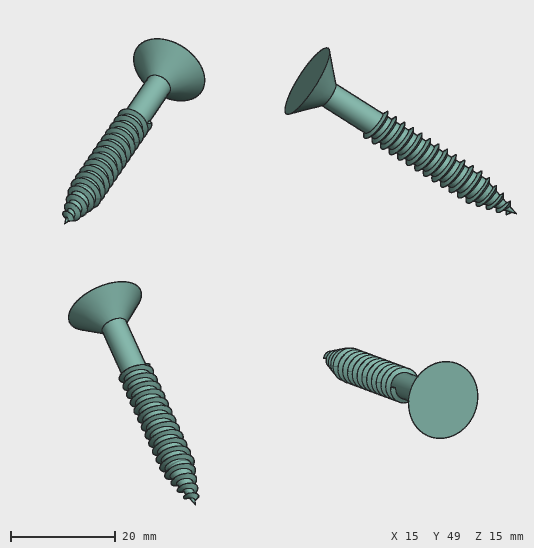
import cadquery as cq
import math


total_length = 49.0
head_diameter = 15.0
head_height = 5.0
shank_diameter = 5.0
tip_length = 9.0

thread_pitch = 2.0
ridge_width = 1.0
ridge_half_angle = 30.0
ridge_height = ridge_width / 2 / math.tan(math.radians(ridge_half_angle))
thread_start_depth = 15.5
shank_thread_turns = 12
turns_per_piece = 3
tip_thread_turns = 4
root_embed = 0.2

cylinder_half_angle = 360

head_radius = head_diameter / 2
shank_radius = shank_diameter / 2
tip_start_depth = total_length - tip_length
thread_taper_depth = thread_start_depth + shank_thread_turns * thread_pitch
thread_end_depth = thread_taper_depth + tip_thread_turns * thread_pitch
thread_end_root_radius = shank_radius * (total_length - thread_end_depth) / tip_length
tip_thread_height = thread_end_depth - thread_taper_depth
tip_thread_half_angle = math.degrees(
    math.atan((shank_radius - thread_end_root_radius) / tip_thread_height)
)


def make_core():
    """Head cone, shank and pointed tip as one revolved body."""
    return (
        cq.Workplane("XZ")
        .lineTo(head_radius, 0)
        .lineTo(shank_radius, -head_height)
        .lineTo(shank_radius, -tip_start_depth)
        .lineTo(0, -total_length)
        .close()
        .revolve(360, (0, 0), (0, 1))
        .val()
    )


def make_helix(radius, bottom, height, half_angle):
    """Left-handed helix starting at +X; it widens upward by half_angle."""
    slant = 1 / math.cos(math.radians(half_angle))
    return cq.Wire.makeHelix(
        thread_pitch * slant,
        height * slant,
        radius,
        center=cq.Vector(0, 0, bottom),
        angle=half_angle,
        lefthand=True,
    )


def make_ridge(root_radius, bottom, height, half_angle):
    """Solid triangular thread ridge whose centre climbs from bottom by height."""
    base_radius = root_radius - root_embed
    half_base = ridge_width / 2 + root_embed * math.tan(math.radians(ridge_half_angle))
    corners = [
        (base_radius, bottom - half_base),
        (root_radius + ridge_height, bottom),
        (base_radius, bottom + half_base),
    ]
    helices = [make_helix(radius, z, height, half_angle) for radius, z in corners]
    neighbours = helices[1:] + helices[:1]
    faces = [cq.Face.makeRuledSurface(a, b) for a, b in zip(helices, neighbours)]
    for end in (0, 1):
        points = [helix.positionAt(end) for helix in helices]
        faces.append(cq.Face.makeFromWires(cq.Wire.makePolygon(points, close=True)))
    return cq.Solid.makeSolid(cq.Shell.makeShell(faces))


def make_thread():
    """Ridge pieces: one narrowing piece at the tip, then full-size pieces up the shank."""
    pieces = [
        make_ridge(thread_end_root_radius, -thread_end_depth, tip_thread_height, tip_thread_half_angle)
    ]
    piece_height = turns_per_piece * thread_pitch
    for index in range(shank_thread_turns // turns_per_piece):
        bottom = index * piece_height - thread_taper_depth
        pieces.append(make_ridge(shank_radius, bottom, piece_height, cylinder_half_angle))
    return pieces


screw = make_core().fuse(*make_thread()).Solids()[0]

result = screw.rotate(cq.Vector(0, 0, 0), cq.Vector(1, 0, 0), -90)